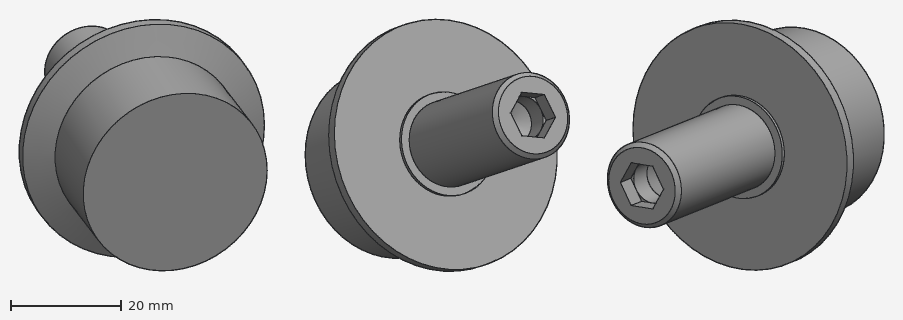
import cadquery as cq
import math

total_length = 54.5
shaft_diameter = 15.9
shaft_chamfer = 0.8
shaft_length = 32.5
collar_diameter = 19.1
collar_thickness = 0.7
flange_diameter = 46.0
flange_thickness = 2.2
cone_length = 2.05
roller_diameter = 35.0

socket_across_flats = 8.0
socket_depth = 3.55
bore_depth = 8.0
drill_point_angle = 120.0

shaft_end = -total_length / 2
collar_face = shaft_end + shaft_length
flange_face = collar_face + collar_thickness
cone_start = flange_face + flange_thickness
roller_start = cone_start + cone_length
roller_end = total_length / 2


def revolve_about_x(profile):
    """Turn a closed half profile of (x, radius) points into a solid."""
    return cq.Workplane("XY").polyline(profile).close().revolve(360, (0, 0, 0), (1, 0, 0))


def make_body():
    """Revolve the half profile of shaft, collar, flange and roller."""
    shaft_radius = shaft_diameter / 2
    collar_radius = collar_diameter / 2
    flange_radius = flange_diameter / 2
    roller_radius = roller_diameter / 2
    profile = [
        (shaft_end, 0),
        (shaft_end, shaft_radius - shaft_chamfer),
        (shaft_end + shaft_chamfer, shaft_radius),
        (collar_face, shaft_radius),
        (collar_face, collar_radius),
        (flange_face, collar_radius),
        (flange_face, flange_radius),
        (cone_start, flange_radius),
        (roller_start, roller_radius),
        (roller_end, roller_radius),
        (roller_end, 0),
    ]
    return revolve_about_x(profile)


def make_socket():
    """Hexagonal prism with corners along Y, over a pointed round bore as wide as the flats."""
    across_corners = socket_across_flats / math.cos(math.radians(30))
    prism = (
        cq.Workplane("YZ", origin=(shaft_end, 0, 0))
        .polygon(6, across_corners)
        .extrude(socket_depth)
    )
    bore_radius = socket_across_flats / 2
    point_length = bore_radius / math.tan(math.radians(drill_point_angle / 2))
    bore_end = shaft_end + bore_depth
    bore_profile = [
        (shaft_end, 0),
        (shaft_end, bore_radius),
        (bore_end, bore_radius),
        (bore_end + point_length, 0),
    ]
    bore = revolve_about_x(bore_profile)
    return prism.union(bore)


result = make_body().cut(make_socket())